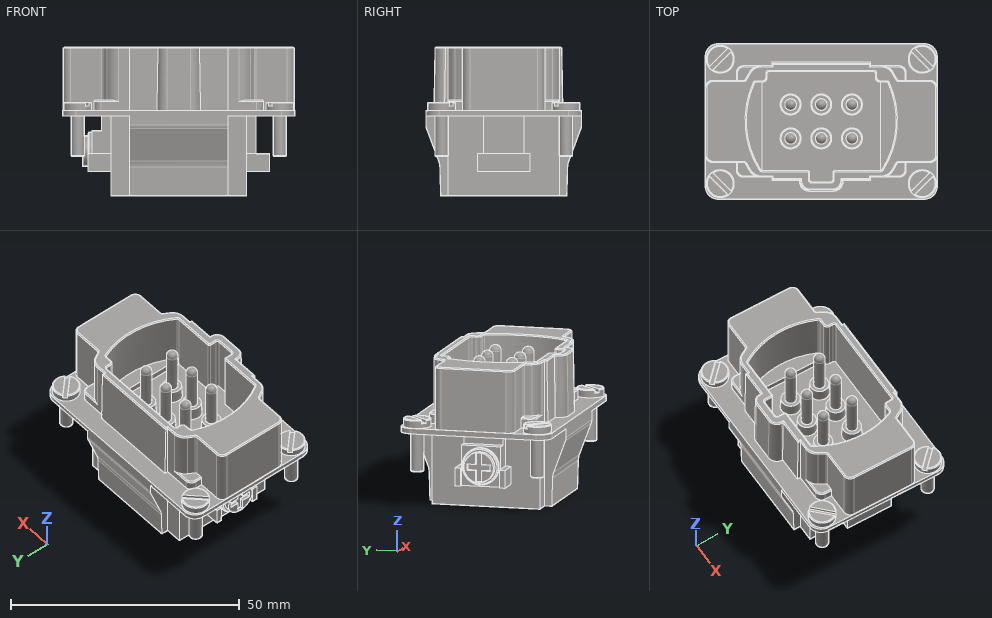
import cadquery as cq
import math


FLANGE_X = 50.7
FLANGE_Y = 34.0
FLANGE_THICK = 1.2
FLANGE_CORNER_R = 2.9

SHROUD_TOP = 13.9
RIM_CHAMFER = 0.25
END_BLOCK_HALF_X = 25.25
END_BLOCK_HALF_Y = 8.95
END_BLOCK_CORNER_R = 1.55
NECK_HALF_X = 16.7
NECK_FILLET = 0.4
SHOULDER_ANGLE = 60.0
SHOULDER_R = 3.0
SHROUD_HALF_Y = 12.15
BAND_HALF_X = 10.8
BAND_HALF_Y = 12.95
KEY_HALF_X = 4.75
KEY_Y = 15.25
KEY_CORNER_R = 2.25
DRAFT = 1.0

FOOT_HALF_X = 18.55
FOOT_HEIGHT = 2.3
FOOT_CORNER_R = 1.55
FOOT_CHAMFER = 0.25

CAVITY_FLOOR = -0.4
CAVITY_BACK_Y = 10.9
CAVITY_BACK_HALF_X = 11.85
CAVITY_STEP_Y = 8.6
CAVITY_STEP_HALF_X = 14.5
CAVITY_BULGE_HALF_X = 16.4
CAVITY_FRONT_Y = -10.75
CAVITY_FRONT_HALF_X = 13.15
CAVITY_CORNER_R = 0.45
CAVITY_STEP_R = 0.9
KEYWAY_HALF_X = 2.55
KEYWAY_Y = -13.2
LEDGE_HALF_X = 13.0
LEDGE_TOP = 1.2

PIN_PITCH_X = 6.7
PIN_PITCH_Y = 7.4
PIN_R = 1.25
PIN_TIP = 13.25
PIN_COLLAR_BASE_R = 2.3
PIN_COLLAR_TOP_R = 2.1
PIN_COLLAR_TOP = 2.55

SCREW_X = 22.05
SCREW_Y = 13.6
SCREW_HEAD_R = 3.05
SCREW_HEAD_HEIGHT = 1.8
SCREW_SHANK_R = 1.45
SCREW_END = -10.05
SCREW_CHAMFER = 0.2
SCREW_SLOT_WIDTH = 1.05
SCREW_SLOT_DEPTH = 0.8
SCREW_SLOT_ANGLE = 45.0

BODY_BOTTOM = -18.6
BODY_HALF_X = 14.8
BODY_HALF_Y = 12.15
SKIRT_SLOPE_TOP = -3.55
SKIRT_SLOPE_BOTTOM = -11.65
SKIRT_SLOPE_FOOT_Y = 14.0
SKIRT_BOTTOM_Y = 13.8
SKIRT_UPPER_R = 2.05
SKIRT_LOWER_R = 4.05

TERMINAL_HALF_Y = 4.4
TERMINAL_NECK_X = 16.9
TERMINAL_PLATE_X = 18.95
TERMINAL_PLATE_TOP = -4.35
TAB_X = 19.8
TAB_HALF_Y = 5.7
TAB_TOP = -9.4
TAB_BOTTOM = -13.35

EARTH_Z = -8.8
EARTH_WASHER_R = 4.1
EARTH_WASHER_X = 19.8
EARTH_WASHER_CHAMFER = 0.25
EARTH_HEAD_R = 3.35
EARTH_HEAD_X = 21.0
CROSS_DEPTH = 0.75
CROSS_ARM_WIDTH = 1.35
CROSS_SPAN_Y = 5.15
CROSS_SPAN_Z = 6.5

PICK_MARGIN = 0.5


def block(x0, x1, y0, y1, z0, z1):
    """Box given by its limits along the three axes."""
    return cq.Workplane("XY").box(x1 - x0, y1 - y0, z1 - z0, centered=False).translate((x0, y0, z0))


def cylinder(radius, z0, z1):
    return cq.Workplane("XY").workplane(offset=z0).circle(radius).extrude(z1 - z0)


def mirrored_x(half):
    """A half shape joined with its mirror image across X = 0."""
    return half.union(half.mirror("YZ"))


def make_flange():
    flange = block(-FLANGE_X / 2, FLANGE_X / 2, -FLANGE_Y / 2, FLANGE_Y / 2, -FLANGE_THICK, 0)
    return flange.edges("|Z").fillet(FLANGE_CORNER_R)


def make_shouldered_body():
    """Middle of the shroud: sloping shoulders that round over into the long sides."""
    angle = math.radians(SHOULDER_ANGLE)
    arc_rise = SHOULDER_R * (1 - math.cos(angle))
    slope_end_y = SHROUD_HALF_Y - arc_rise
    slope_end_x = NECK_HALF_X - (slope_end_y - END_BLOCK_HALF_Y) / math.tan(angle)
    flat_x = slope_end_x - SHOULDER_R * math.sin(angle)
    mid_x = flat_x + SHOULDER_R * math.sin(angle / 2)
    mid_y = SHROUD_HALF_Y - SHOULDER_R * (1 - math.cos(angle / 2))
    quarter = (
        cq.Workplane("XY")
        .lineTo(NECK_HALF_X, 0)
        .lineTo(NECK_HALF_X, END_BLOCK_HALF_Y)
        .lineTo(slope_end_x, slope_end_y)
        .threePointArc((mid_x, mid_y), (flat_x, SHROUD_HALF_Y))
        .lineTo(0, SHROUD_HALF_Y)
        .close()
        .extrude(SHROUD_TOP)
    )
    half = quarter.union(quarter.mirror("XZ"))
    return mirrored_x(half)


def make_band():
    """Raised middle stretch of the long sides, drafted toward the rim."""
    top_half_y = BAND_HALF_Y - SHROUD_TOP * math.tan(math.radians(DRAFT))
    profile = [(-BAND_HALF_Y, 0), (BAND_HALF_Y, 0), (top_half_y, SHROUD_TOP), (-top_half_y, SHROUD_TOP)]
    return cq.Workplane("YZ").polyline(profile).close().extrude(BAND_HALF_X, both=True)


def make_key():
    """Rounded polarising rib on the front side."""
    outline = cq.Sketch().rect(2 * KEY_HALF_X, KEY_Y).vertices("<Y").fillet(KEY_CORNER_R)
    key = cq.Workplane("XY").placeSketch(outline).extrude(SHROUD_TOP, taper=DRAFT)
    return key.translate((0, -KEY_Y / 2, 0))


def make_shroud():
    end_blocks = block(
        -END_BLOCK_HALF_X, END_BLOCK_HALF_X, -END_BLOCK_HALF_Y, END_BLOCK_HALF_Y, 0, SHROUD_TOP
    ).edges("|Z").fillet(END_BLOCK_CORNER_R)
    shroud = end_blocks.union(make_shouldered_body()).union(make_band()).union(make_key())
    neck_zone = cq.selectors.BoxSelector(
        (-NECK_HALF_X - PICK_MARGIN, -END_BLOCK_HALF_Y - PICK_MARGIN, 0),
        (NECK_HALF_X + PICK_MARGIN, END_BLOCK_HALF_Y + PICK_MARGIN, SHROUD_TOP),
    )
    shroud = shroud.edges("|Z").edges(neck_zone).fillet(NECK_FILLET)
    shroud = shroud.cut(make_cavity()).faces(">Z").edges().chamfer(RIM_CHAMFER)
    feet = block(-FOOT_HALF_X, FOOT_HALF_X, -SHROUD_HALF_Y, SHROUD_HALF_Y, 0, FOOT_HEIGHT)
    feet = feet.edges("|Z").fillet(FOOT_CORNER_R).faces(">Z").chamfer(FOOT_CHAMFER)
    return shroud.union(feet)


def make_cavity():
    half = (
        cq.Workplane("XY")
        .workplane(offset=CAVITY_FLOOR)
        .moveTo(0, CAVITY_BACK_Y)
        .lineTo(CAVITY_BACK_HALF_X, CAVITY_BACK_Y)
        .lineTo(CAVITY_BACK_HALF_X, CAVITY_STEP_Y)
        .lineTo(CAVITY_STEP_HALF_X, CAVITY_STEP_Y)
        .threePointArc((CAVITY_BULGE_HALF_X, 0), (CAVITY_FRONT_HALF_X, CAVITY_FRONT_Y))
        .lineTo(KEYWAY_HALF_X, CAVITY_FRONT_Y)
        .lineTo(KEYWAY_HALF_X, KEYWAY_Y)
        .lineTo(0, KEYWAY_Y)
        .close()
        .extrude(SHROUD_TOP - CAVITY_FLOOR)
    )
    upright = cq.selectors.StringSyntaxSelector("|Z")
    step_corners = cq.selectors.BoxSelector(
        (-CAVITY_BACK_HALF_X - PICK_MARGIN, CAVITY_STEP_Y - PICK_MARGIN, CAVITY_FLOOR),
        (CAVITY_BACK_HALF_X + PICK_MARGIN, CAVITY_STEP_Y + PICK_MARGIN, SHROUD_TOP),
    )
    sharp = mirrored_x(half)
    cavity = sharp.edges(cq.selectors.SubtractSelector(upright, step_corners)).fillet(CAVITY_CORNER_R)
    cavity = cavity.edges(cq.selectors.AndSelector(upright, step_corners)).fillet(CAVITY_STEP_R)
    for side in (-1, 1):
        inner, outer = sorted((side * LEDGE_HALF_X, side * FLANGE_X / 2))
        cavity = cavity.cut(block(inner, outer, -FLANGE_Y / 2, FLANGE_Y / 2, CAVITY_FLOOR, LEDGE_TOP))
    return cavity


def make_pin():
    collar = (
        cq.Workplane("XY")
        .workplane(offset=CAVITY_FLOOR)
        .circle(PIN_COLLAR_BASE_R)
        .workplane(offset=PIN_COLLAR_TOP - CAVITY_FLOOR)
        .circle(PIN_COLLAR_TOP_R)
        .loft()
    )
    dome_z = PIN_TIP - PIN_R
    dome = cq.Workplane("XY").sphere(PIN_R).translate((0, 0, dome_z))
    return collar.union(cylinder(PIN_R, CAVITY_FLOOR, dome_z)).union(dome)


def make_fixing_screw(slot_angle):
    head = cylinder(SCREW_HEAD_R, 0, SCREW_HEAD_HEIGHT).faces(">Z").chamfer(SCREW_CHAMFER)
    slot = block(
        -SCREW_HEAD_R, SCREW_HEAD_R, -SCREW_SLOT_WIDTH / 2, SCREW_SLOT_WIDTH / 2,
        SCREW_HEAD_HEIGHT - SCREW_SLOT_DEPTH, SCREW_HEAD_HEIGHT,
    ).rotate((0, 0, 0), (0, 0, 1), slot_angle)
    shank = cylinder(SCREW_SHANK_R, SCREW_END, 0).faces("<Z").chamfer(SCREW_CHAMFER)
    return head.cut(slot).union(shank)


def make_skirt():
    """Middle of the body: full flange width at the top, narrowing through a slope."""
    half = (
        cq.Workplane("YZ")
        .moveTo(0, -FLANGE_THICK)
        .lineTo(FLANGE_Y / 2, -FLANGE_THICK)
        .lineTo(FLANGE_Y / 2, SKIRT_SLOPE_TOP)
        .lineTo(SKIRT_SLOPE_FOOT_Y, SKIRT_SLOPE_BOTTOM)
        .lineTo(SKIRT_BOTTOM_Y, BODY_BOTTOM)
        .lineTo(0, BODY_BOTTOM)
        .close()
        .extrude(BAND_HALF_X, both=True)
    )
    for bend_z, radius in ((SKIRT_SLOPE_TOP, SKIRT_UPPER_R), (SKIRT_SLOPE_BOTTOM, SKIRT_LOWER_R)):
        bend = cq.selectors.BoxSelector(
            (-BAND_HALF_X, PICK_MARGIN, bend_z - PICK_MARGIN),
            (BAND_HALF_X, FLANGE_Y, bend_z + PICK_MARGIN),
        )
        half = half.edges("|X").edges(bend).fillet(radius)
    skirt = half.union(half.mirror("XZ"))
    return skirt


def make_body():
    core = block(-BODY_HALF_X, BODY_HALF_X, -BODY_HALF_Y, BODY_HALF_Y, BODY_BOTTOM, -FLANGE_THICK)
    return core.union(make_skirt())


def make_terminals():
    necks = block(
        -TERMINAL_NECK_X, TERMINAL_NECK_X, -TERMINAL_HALF_Y, TERMINAL_HALF_Y, TAB_BOTTOM, -FLANGE_THICK
    )
    tabs = block(-TAB_X, TAB_X, -TAB_HALF_Y, TAB_HALF_Y, TAB_BOTTOM, TAB_TOP)
    plate_recess = block(
        -TAB_X, -TERMINAL_PLATE_X, -TERMINAL_HALF_Y, TERMINAL_HALF_Y, TAB_BOTTOM, TAB_TOP
    )
    plate = block(
        -TERMINAL_PLATE_X, 0, -TERMINAL_HALF_Y, TERMINAL_HALF_Y, TAB_BOTTOM, TERMINAL_PLATE_TOP
    )
    return necks.union(tabs.cut(plate_recess)).union(plate)


def make_earth_screw():
    screw = cq.Workplane("YZ").center(0, EARTH_Z).circle(EARTH_WASHER_R).extrude(-EARTH_WASHER_X)
    screw = screw.faces("<X").chamfer(EARTH_WASHER_CHAMFER)
    head = cq.Workplane("YZ").center(0, EARTH_Z).circle(EARTH_HEAD_R).extrude(-EARTH_HEAD_X)
    screw = screw.union(head)
    for span_y, span_z in ((CROSS_SPAN_Y, CROSS_ARM_WIDTH), (CROSS_ARM_WIDTH, CROSS_SPAN_Z)):
        arm = block(
            -EARTH_HEAD_X, CROSS_DEPTH - EARTH_HEAD_X, -span_y / 2, span_y / 2,
            EARTH_Z - span_z / 2, EARTH_Z + span_z / 2,
        )
        screw = screw.cut(arm)
    return screw.intersect(block(-EARTH_HEAD_X, -BODY_HALF_X, -FLANGE_Y, FLANGE_Y, BODY_BOTTOM, 0))


result = make_flange().union(make_shroud()).union(make_body())
result = result.union(make_terminals()).union(make_earth_screw())
result = result.cut(make_cavity())

pin = make_pin()
for column in (-1, 0, 1):
    for row in (-0.5, 0.5):
        result = result.union(pin.translate((column * PIN_PITCH_X, row * PIN_PITCH_Y, 0)))

for side_x in (-1, 1):
    for side_y in (-1, 1):
        screw = make_fixing_screw(-SCREW_SLOT_ANGLE * side_x * side_y)
        result = result.union(screw.translate((side_x * SCREW_X, side_y * SCREW_Y, 0)))